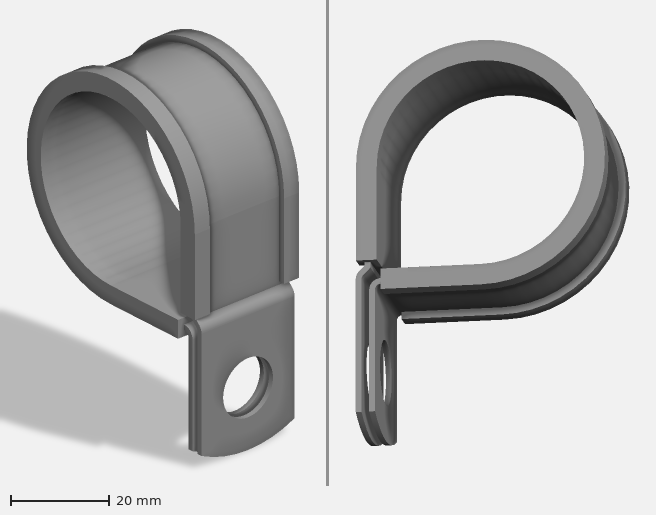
import cadquery as cq
import math

overall_height = 79.65
cushion_radius = 25.7
cushion_thickness = 4.3
cushion_width = 28.4
upright_leg_end_z = -19.5
level_leg_end_x = 20.6
groove_width = 20.2
groove_depth = 1.5

strap_width = 25.3
strap_thickness = 1.2
strap_radius = cushion_radius - groove_depth
bend_inner_radius = 1.2
bend_outer_radius = bend_inner_radius + strap_thickness
inner_tab_x = 23.25
tab_bottom_z = cushion_radius - overall_height
tab_end_rise = 2.95
outer_tab_x = 26.05
jog_start_z = -20.2
jog_angle = math.radians(45)
hole_diameter = 13.5
hole_z = tab_bottom_z + 14.25


def extrude_across(profile, width):
    """Extrude an XZ profile symmetrically about Y = 0."""
    return profile.extrude(width / 2, both=True)


def loop_band(outer_radius, thickness, width):
    """Three-quarter ring with one level leg and one upright leg."""
    inner_radius = outer_radius - thickness
    outer_diagonal = outer_radius * math.sqrt(0.5)
    inner_diagonal = inner_radius * math.sqrt(0.5)
    profile = (
        cq.Workplane("XZ")
        .moveTo(outer_radius, upright_leg_end_z)
        .lineTo(outer_radius, 0)
        .threePointArc((-outer_diagonal, outer_diagonal), (0, -outer_radius))
        .lineTo(level_leg_end_x, -outer_radius)
        .lineTo(level_leg_end_x, -inner_radius)
        .lineTo(0, -inner_radius)
        .threePointArc((-inner_diagonal, inner_diagonal), (inner_radius, 0))
        .lineTo(inner_radius, upright_leg_end_z)
        .close()
    )
    return extrude_across(profile, width)


def grooved_cushion():
    """Cushion with a shallow groove around its outside, leaving a rim at each edge."""
    band = loop_band(cushion_radius, cushion_thickness, cushion_width)
    return band.cut(loop_band(cushion_radius, groove_depth, groove_width))


def inner_tab():
    """Tab that turns down from the level leg through a quarter bend."""
    bend_z = -strap_radius - bend_inner_radius
    bend_x = inner_tab_x - bend_outer_radius
    left_x = inner_tab_x - strap_thickness
    profile = (
        cq.Workplane("XZ")
        .moveTo(level_leg_end_x, -strap_radius)
        .lineTo(bend_x, -strap_radius)
        .radiusArc((left_x, bend_z), bend_inner_radius)
        .lineTo(left_x, tab_bottom_z)
        .lineTo(inner_tab_x, tab_bottom_z)
        .lineTo(inner_tab_x, bend_z)
        .radiusArc((bend_x, bend_z + bend_outer_radius), -bend_outer_radius)
        .lineTo(level_leg_end_x, bend_z + bend_outer_radius)
        .close()
    )
    return extrude_across(profile, strap_width)


def round_edge(strip, corner_x, corner_z, radius):
    """Round the edge along Y that passes through an XZ corner."""
    return strip.edges(cq.NearestToPointSelector((corner_x, 0, corner_z))).fillet(radius)


def outer_tab():
    """Tab that jogs outward below the upright leg, then drops straight down."""
    jog_drop = (outer_tab_x - strap_radius) / math.tan(jog_angle)
    corner_drop = strap_thickness * math.tan(jog_angle / 2)
    upper_left_x = strap_radius - strap_thickness
    lower_left_x = outer_tab_x - strap_thickness
    left_jog_z = jog_start_z - corner_drop
    right_end_z = jog_start_z - jog_drop
    left_end_z = left_jog_z - jog_drop
    profile = (
        cq.Workplane("XZ")
        .moveTo(strap_radius, upright_leg_end_z)
        .lineTo(strap_radius, jog_start_z)
        .lineTo(outer_tab_x, right_end_z)
        .lineTo(outer_tab_x, tab_bottom_z)
        .lineTo(lower_left_x, tab_bottom_z)
        .lineTo(lower_left_x, left_end_z)
        .lineTo(upper_left_x, left_jog_z)
        .lineTo(upper_left_x, upright_leg_end_z)
        .close()
    )
    tab = extrude_across(profile, strap_width)
    tab = round_edge(tab, lower_left_x, left_end_z, bend_inner_radius)
    return round_edge(tab, outer_tab_x, right_end_z, bend_outer_radius)


def tab_outline():
    """Block along X that gives the tabs their sides, arched lower end and hole."""
    half_width = strap_width / 2
    shoulder_z = tab_bottom_z + tab_end_rise
    outline = (
        cq.Workplane("YZ")
        .moveTo(-half_width, 0)
        .lineTo(-half_width, shoulder_z)
        .threePointArc((0, tab_bottom_z), (half_width, shoulder_z))
        .lineTo(half_width, 0)
        .close()
        .extrude(cushion_radius + strap_thickness)
    )
    hole = (
        cq.Workplane("YZ")
        .center(0, hole_z)
        .circle(hole_diameter / 2)
        .extrude(cushion_radius + strap_thickness)
    )
    return outline.cut(hole)


tabs = inner_tab().union(outer_tab()).intersect(tab_outline())
strap = loop_band(strap_radius, strap_thickness, strap_width).union(tabs)
result = grooved_cushion().union(strap)